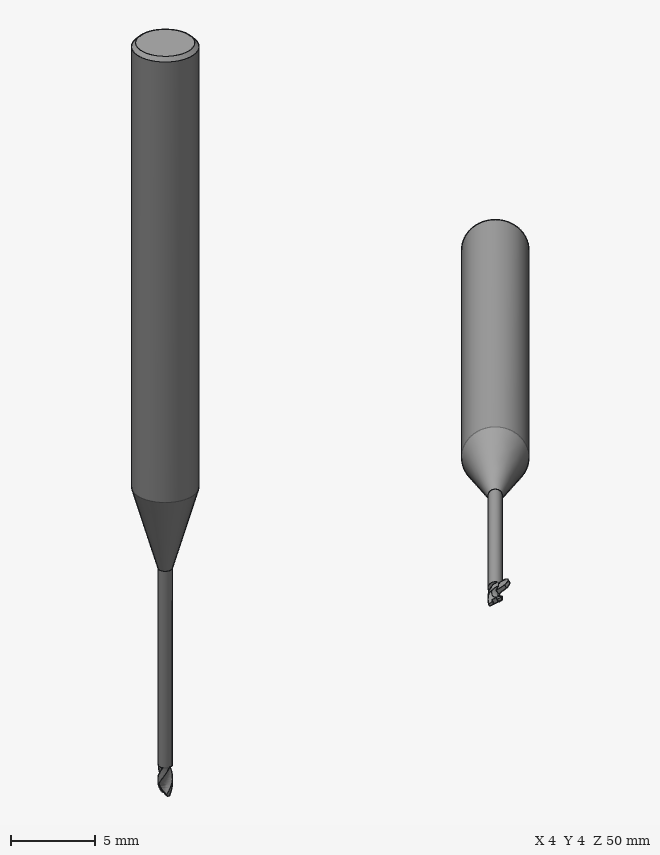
import cadquery as cq
import math

total_length = 50.0
shank_radius = 2.0
shank_bottom_z = 20.4
shank_chamfer = 0.25
neck_radius = 0.43
neck_top_z = 15.0

flute_top_z = 1.9
flute_pitch = 4.2
web_thickness = 0.4
end_notch_width = 0.3
end_notch_depth = 0.15
tip_flat = 0.08
tip_relief_height = 0.75

tooth_reach = 1.05
tooth_bottom_z = 0.98
tooth_top_z = 1.78
tooth_crest_rise = 0.25
tooth_front_root_y = -0.1
tooth_front_crest_y = 0.08
tooth_back_root_y = 0.2
tooth_back_crest_y = 0.3


def make_shank():
    """Chamfered cylindrical shank with a cone narrowing to the neck."""
    cone_height = shank_bottom_z - neck_top_z
    shank = (
        cq.Workplane("XY", origin=(0, 0, shank_bottom_z))
        .circle(shank_radius)
        .extrude(total_length - shank_bottom_z)
        .faces(">Z")
        .chamfer(shank_chamfer)
    )
    cone = cq.Solid.makeCone(neck_radius, shank_radius, cone_height, pnt=cq.Vector(0, 0, neck_top_z))
    return shank.union(cq.Workplane(cone))


def make_fluted_end():
    """Flat-sided blade twisted about the axis, with the tip edge along X."""
    half_web = web_thickness / 2
    flat_half_length = math.sqrt(neck_radius**2 - half_web**2)
    twist = 360 * flute_top_z / flute_pitch
    return (
        cq.Workplane("XY")
        .moveTo(-flat_half_length, -half_web)
        .lineTo(flat_half_length, -half_web)
        .threePointArc((neck_radius, 0), (flat_half_length, half_web))
        .lineTo(-flat_half_length, half_web)
        .threePointArc((-neck_radius, 0), (-flat_half_length, -half_web))
        .close()
        .twistExtrude(flute_top_z, twist)
    )


def make_tip_relief():
    """Wedges on both Y sides that leave a narrow edge along X at the tip."""
    wedge = (
        cq.Workplane("YZ")
        .moveTo(tip_flat, 0)
        .lineTo(neck_radius, 0)
        .lineTo(neck_radius, tip_relief_height)
        .close()
        .extrude(neck_radius, both=True)
    )
    return wedge.union(wedge.mirror("XZ"))


def make_end_notch():
    """Notch through the middle of the tip, leaving an end tooth on each side."""
    return cq.Workplane("XY").box(end_notch_width, 2 * neck_radius, 2 * end_notch_depth)


def make_tooth():
    """Side tooth with a rounded crest, narrowing in Y from its root to its crest."""
    middle_z = (tooth_bottom_z + tooth_top_z) / 2
    crest_x = -tooth_reach + tooth_crest_rise
    face_profile = (
        cq.Workplane("XZ", origin=(0, tooth_back_crest_y, 0))
        .moveTo(0, tooth_bottom_z)
        .lineTo(crest_x, tooth_bottom_z)
        .threePointArc((-tooth_reach, middle_z), (crest_x, tooth_top_z))
        .lineTo(0, tooth_top_z)
        .close()
        .extrude(tooth_back_crest_y - tooth_front_root_y)
    )
    plan = (
        cq.Workplane("XY", origin=(0, 0, tooth_bottom_z))
        .moveTo(-tooth_reach, tooth_front_crest_y)
        .lineTo(0, tooth_front_root_y)
        .lineTo(0, tooth_back_root_y)
        .lineTo(-tooth_reach, tooth_back_crest_y)
        .close()
        .extrude(tooth_top_z - tooth_bottom_z)
    )
    return face_profile.intersect(plan)


def make_cutter():
    """Slender neck carrying the fluted end and the side tooth."""
    neck = (
        cq.Workplane("XY", origin=(0, 0, flute_top_z))
        .circle(neck_radius)
        .extrude(neck_top_z - flute_top_z)
    )
    end = make_fluted_end().cut(make_tip_relief()).cut(make_end_notch())
    return neck.union(end).union(make_tooth())


shank = make_shank()
cutter = make_cutter()

result = cq.Compound.makeCompound([shank.val(), cutter.val()])